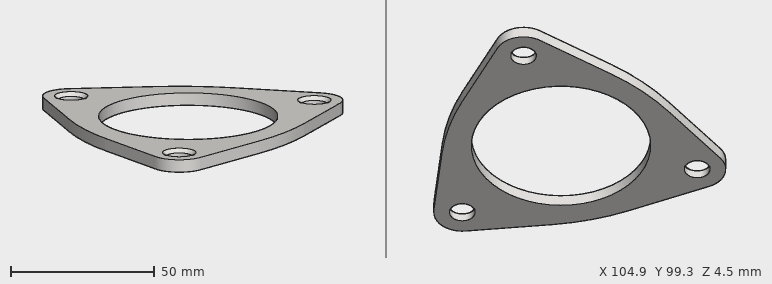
import cadquery as cq
import math

thickness = 4.5
bore_diameter = 62.5
overall_width = 104.9
corner_radius = 10.0
side_distance = 40.3
side_radius = 89.2
hole_diameter = 8.9
countersink_diameter = 11.6
countersink_angle = 90
corner_count = 3
corner_step = 360 / corner_count

corner_x = overall_width / 2 - corner_radius
corner_y = -corner_x / math.tan(math.radians(corner_step / 2))

side_centre_y = side_radius - side_distance
centre_rise = side_centre_y - corner_y
centre_spacing = math.hypot(corner_x, centre_rise)
tangent_tilt = math.degrees(
    math.atan2(corner_x, centre_rise) - math.acos((side_radius - corner_radius) / centre_spacing)
)


def turn(point, angle):
    """Rotate a point about the plate centre, counter-clockwise in degrees."""
    x, y = point
    c = math.cos(math.radians(angle))
    s = math.sin(math.radians(angle))
    return (x * c - y * s, x * s + y * c)


def point_below(centre, radius, tilt):
    """Point on a circle, tilted towards +X from straight below its centre."""
    a = math.radians(tilt)
    return (centre[0] + radius * math.sin(a), centre[1] - radius * math.cos(a))


def plate():
    """Rounded triangle of bowed sides, straight flanks and corner arcs."""
    side_centre = (0, side_centre_y)
    corner_centre = (corner_x, corner_y)
    side_start = point_below(side_centre, side_radius, -tangent_tilt)
    side_middle = (0, -side_distance)
    side_end = point_below(side_centre, side_radius, tangent_tilt)
    corner_start = point_below(corner_centre, corner_radius, tangent_tilt)
    corner_middle = point_below(corner_centre, corner_radius, corner_step / 2)
    corner_end = point_below(corner_centre, corner_radius, corner_step - tangent_tilt)

    outline = cq.Workplane("XY").moveTo(*side_start)
    for i in range(corner_count):
        angle = i * corner_step
        outline = outline.threePointArc(turn(side_middle, angle), turn(side_end, angle))
        outline = outline.lineTo(*turn(corner_start, angle))
        outline = outline.threePointArc(turn(corner_middle, angle), turn(corner_end, angle))
        if i < corner_count - 1:
            outline = outline.lineTo(*turn(side_start, angle + corner_step))
    return outline.close().extrude(thickness)


def cut_bore(body):
    return body.faces(">Z").workplane(origin=(0, 0, thickness)).hole(bore_diameter)


def cut_bolt_holes(body):
    """Countersunk through holes concentric with the corner arcs."""
    centres = [turn((corner_x, corner_y), i * corner_step) for i in range(corner_count)]
    return (
        body.faces(">Z")
        .workplane(origin=(0, 0, thickness))
        .pushPoints(centres)
        .cskHole(hole_diameter, countersink_diameter, countersink_angle)
    )


result = cut_bolt_holes(cut_bore(plate()))